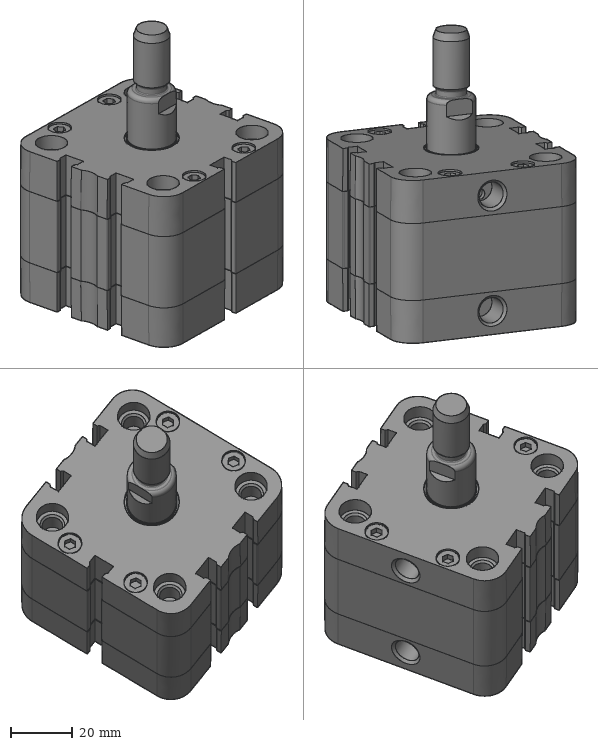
import cadquery as cq
import math

BODY_WIDTH = 65.5
BODY_HEIGHT = 55.0
TOTAL_HEIGHT = 95.0
CAP_HEIGHT = 14.5
TUBE_HEIGHT = BODY_HEIGHT - 2 * CAP_HEIGHT
HEAD_BASE = BODY_HEIGHT - CAP_HEIGHT
CORNER_RADIUS = 8.0
CAP_DRAFT = 0.46
BORE_DIAMETER = 50.0

SLOT_SPACING = 20.9
SLOT_MOUTH_WIDTH = 5.4
SLOT_INNER_WIDTH = 6.8
SLOT_MOUTH_ROUND = 0.3
SLOT_LIP_DEPTH = 1.75
SLOT_DEPTH = 5.3
GROOVE_WIDTH = 6.6
GROOVE_DEPTH = 0.85
GROOVE_EDGE_ROUND = 0.4
CAP_CLEARANCE = 0.25
GROOVE_CLEARANCE = 0.1
CHANNEL_OVERRUN = 1.0

PORT_INSET = 8.0
PORT_DIAMETER = 8.57
PORT_MOUTH_DIAMETER = 10.5
PORT_CHAMFER_DEPTH = 1.0
PORT_DEPTH = 10.0
AIR_HOLE_DIAMETER = 3.5
AIR_HOLE_DROP = 2.0
AIR_HOLE_DEPTH = 2.0

MOUNT_SPACING = 46.5
MOUNT_COUNTERBORE_DIAMETER = 10.5
MOUNT_COUNTERBORE_DEPTH = 5.0
MOUNT_THREAD_DIAMETER = 6.65
MOUNT_CHAMFER_DIAMETER = 8.0
MOUNT_DEPTH = 12.0

SCREW_SPACING_X = 56.0
SCREW_SPACING_Y = 26.0
SCREW_RECESS_DIAMETER = 7.7
SCREW_HEAD_DIAMETER = 7.5
SCREW_HEAD_DROP = 0.6
SCREW_GROOVE_DEPTH = 1.1
SOCKET_ACROSS_FLATS = 3.5
SOCKET_DEPTH = 2.0

ROD_DIAMETER = 16.0
ROD_SHOULDER = 73.0
SHOULDER_FILLET = 1.6
THREAD_DIAMETER = 12.0
NECK_DIAMETER = 10.0
NECK_HEIGHT = 2.2
NECK_FILLET = 0.3
TIP_DIAMETER = 10.1
TIP_HEIGHT = 2.6
FLAT_ACROSS = 13.0
FLAT_HEIGHT = 5.4
FLAT_RUNOUT = 1.25
RING_OUTER_DIAMETER = 18.0
RING_WALL_DIAMETER = 17.7
RING_LIP_DIAMETER = 16.54
RING_DEPTH = 0.6


def slot_cutter(height, clearance):
    """T-slot open towards +Y, with its mouth on the line Y = 0 and its depth along -Y."""
    mouth = SLOT_MOUTH_WIDTH / 2 + clearance
    inner = SLOT_INNER_WIDTH / 2 + clearance
    shoulder = SLOT_LIP_DEPTH + inner - mouth
    floor = SLOT_DEPTH + clearance
    half = [
        (mouth, CHANNEL_OVERRUN),
        (mouth, -SLOT_LIP_DEPTH),
        (inner, -shoulder),
        (inner, -floor),
    ]
    mirrored = [(-x, y) for x, y in reversed(half)]
    return cq.Workplane("XY").polyline(half + mirrored).close().extrude(height)


def rounded_slot_cutter(height):
    """Tube slot whose two mouth edges are rounded."""
    mouth = SLOT_MOUTH_WIDTH / 2
    flare = mouth + SLOT_MOUTH_ROUND
    bulge = flare - SLOT_MOUTH_ROUND * math.sqrt(0.5)
    bulge_depth = SLOT_MOUTH_ROUND * (1 - math.sqrt(0.5))
    mouth_flare = (
        cq.Workplane("XY")
        .moveTo(-flare, 0)
        .threePointArc((-bulge, -bulge_depth), (-mouth, -SLOT_MOUTH_ROUND))
        .lineTo(mouth, -SLOT_MOUTH_ROUND)
        .threePointArc((bulge, -bulge_depth), (flare, 0))
        .lineTo(flare, CHANNEL_OVERRUN)
        .lineTo(-flare, CHANNEL_OVERRUN)
        .close()
        .extrude(height)
    )
    return slot_cutter(height, 0).union(mouth_flare)


def groove_cutter(height, clearance):
    """Shallow round groove centred on the line X = Y = 0, its depth along -Y."""
    radius = (GROOVE_WIDTH**2 / 4 + GROOVE_DEPTH**2) / (2 * GROOVE_DEPTH)
    centre_height = radius - GROOVE_DEPTH
    return cq.Workplane("XY").center(0, centre_height).circle(radius + clearance).extrude(height)


def rounded_groove_cutter(height, clearance):
    """Cap groove whose two edges are rounded tangent to the groove and to the side face."""
    radius = (GROOVE_WIDTH**2 / 4 + GROOVE_DEPTH**2) / (2 * GROOVE_DEPTH)
    centre_height = radius - GROOVE_DEPTH
    reach = radius + clearance + GROOVE_EDGE_ROUND
    rise = centre_height + GROOVE_EDGE_ROUND
    edge = math.sqrt(reach**2 - rise**2)
    slope = math.atan2(edge, rise)

    def on_rounding(angle):
        return (
            edge - GROOVE_EDGE_ROUND * math.sin(angle),
            GROOVE_EDGE_ROUND * (math.cos(angle) - 1),
        )

    middle = on_rounding(slope / 2)
    end = on_rounding(slope)
    edge_flare = (
        cq.Workplane("XY")
        .moveTo(-edge, 0)
        .threePointArc((-middle[0], middle[1]), (-end[0], end[1]))
        .lineTo(*end)
        .threePointArc(middle, (edge, 0))
        .lineTo(edge, CHANNEL_OVERRUN)
        .lineTo(-edge, CHANNEL_OVERRUN)
        .close()
        .extrude(height)
    )
    return groove_cutter(height, clearance).union(edge_flare)


def cut_channels(block, slot, groove):
    """Two slots and a groove on the +Y and -Y sides, one slot on the +X side."""
    face = BODY_WIDTH / 2
    side_set = [slot.translate((x, face, 0)) for x in (-SLOT_SPACING / 2, SLOT_SPACING / 2)]
    side_set.append(groove.translate((0, face, 0)))
    for cutter in side_set:
        for turn in (0, 180):
            block = block.cut(cutter.rotate((0, 0, 0), (0, 0, 1), turn))
    return block.cut(slot.translate((0, face, 0)).rotate((0, 0, 0), (0, 0, 1), -90))


def body_outline():
    return cq.Sketch().rect(BODY_WIDTH, BODY_WIDTH).vertices().fillet(CORNER_RADIUS)


def cut_port(block, height):
    """Threaded port with a chamfered mouth, drilled from the -X side."""
    face = BODY_WIDTH / 2
    profile = [
        (-face - PORT_CHAMFER_DEPTH, 0),
        (-face - PORT_CHAMFER_DEPTH, PORT_MOUTH_DIAMETER / 2),
        (-face, PORT_MOUTH_DIAMETER / 2),
        (-face + PORT_CHAMFER_DEPTH, PORT_DIAMETER / 2),
        (-face + PORT_DEPTH, PORT_DIAMETER / 2),
        (-face + PORT_DEPTH, 0),
    ]
    port = cq.Workplane("XZ").polyline(profile).close().revolve(360, (0, 0, 0), (1, 0, 0))
    return block.cut(port.translate((0, 0, height)))


def drafted_cap():
    """Cap with its slots and grooves, full size at Z = 0 and drafted inwards up to its outer end."""
    cap = cq.Workplane("XY").placeSketch(body_outline()).extrude(CAP_HEIGHT, taper=CAP_DRAFT)
    slot = slot_cutter(CAP_HEIGHT, CAP_CLEARANCE)
    groove = rounded_groove_cutter(CAP_HEIGHT, GROOVE_CLEARANCE)
    return cut_channels(cap, slot, groove)


def build_rear_cap():
    cap = drafted_cap().rotate((0, 0, 0), (1, 0, 0), 180)
    cap = cap.translate((0, 0, CAP_HEIGHT))
    return cut_port(cap, PORT_INSET)


def build_tube():
    tube = cq.Workplane("XY").placeSketch(body_outline()).extrude(TUBE_HEIGHT)
    tube = cut_channels(tube, rounded_slot_cutter(TUBE_HEIGHT), groove_cutter(TUBE_HEIGHT, 0))
    bore = cq.Workplane("XY").circle(BORE_DIAMETER / 2).extrude(TUBE_HEIGHT)
    return tube.cut(bore).translate((0, 0, CAP_HEIGHT))


def mount_hole_cutter():
    """Counterbored blind hole with a chamfered thread, opening at Z = 0."""
    thread = MOUNT_THREAD_DIAMETER / 2
    chamfer = MOUNT_CHAMFER_DIAMETER / 2
    counterbore = MOUNT_COUNTERBORE_DIAMETER / 2
    profile = [
        (0, 0),
        (counterbore, 0),
        (counterbore, -MOUNT_COUNTERBORE_DEPTH),
        (chamfer, -MOUNT_COUNTERBORE_DEPTH),
        (thread, -MOUNT_COUNTERBORE_DEPTH - chamfer + thread),
        (thread, -MOUNT_DEPTH),
        (0, -MOUNT_DEPTH),
    ]
    return cq.Workplane("XZ").polyline(profile).close().revolve(360, (0, 0, 0), (0, 1, 0))


def screw_cutter():
    """Recess above a screw head, the narrow ring around the head, and its hexagon socket."""
    recess = cq.Workplane("XY").circle(SCREW_RECESS_DIAMETER / 2).extrude(-SCREW_HEAD_DROP)
    ring = (
        cq.Workplane("XY")
        .circle(SCREW_RECESS_DIAMETER / 2)
        .circle(SCREW_HEAD_DIAMETER / 2)
        .extrude(-SCREW_GROOVE_DEPTH)
    )
    across_corners = SOCKET_ACROSS_FLATS / math.cos(math.pi / 6)
    socket = cq.Workplane("XY").transformed(rotate=(0, 0, 90)).polygon(6, across_corners)
    return recess.union(ring).union(socket.extrude(-SCREW_HEAD_DROP - SOCKET_DEPTH))


def cut_at_corners(block, cutter, spacing_x, spacing_y):
    """Cut the same shape at the four corners of a rectangle on the head's top face."""
    for x in (-spacing_x / 2, spacing_x / 2):
        for y in (-spacing_y / 2, spacing_y / 2):
            block = block.cut(cutter.translate((x, y, BODY_HEIGHT)))
    return block


def rod_passage_cutter():
    """Rod hole through the head, with a ring groove that leaves a thin lip around the rod."""
    rod = ROD_DIAMETER / 2
    ring_outer = RING_OUTER_DIAMETER / 2
    ring_wall = RING_WALL_DIAMETER / 2
    lip = RING_LIP_DIAMETER / 2
    lip_top = BODY_HEIGHT - (ring_outer - ring_wall)
    ring_floor = BODY_HEIGHT - RING_DEPTH
    profile = [
        (0, BODY_HEIGHT),
        (ring_outer, BODY_HEIGHT),
        (ring_wall, lip_top),
        (ring_wall, ring_floor),
        (lip, ring_floor),
        (lip, lip_top),
        (rod, lip_top),
        (rod, HEAD_BASE),
        (0, HEAD_BASE),
    ]
    return cq.Workplane("XZ").polyline(profile).close().revolve(360, (0, 0, 0), (0, 1, 0))


def build_head():
    port_height = BODY_HEIGHT - PORT_INSET
    head = drafted_cap().translate((0, 0, HEAD_BASE))
    head = cut_port(head, port_height)
    air_hole = (
        cq.Workplane("YZ", origin=(PORT_DEPTH - BODY_WIDTH / 2, 0, port_height - AIR_HOLE_DROP))
        .circle(AIR_HOLE_DIAMETER / 2)
        .extrude(AIR_HOLE_DEPTH)
    )
    head = head.cut(air_hole)
    head = cut_at_corners(head, mount_hole_cutter(), MOUNT_SPACING, MOUNT_SPACING)
    head = cut_at_corners(head, screw_cutter(), SCREW_SPACING_X, SCREW_SPACING_Y)
    return head.cut(rod_passage_cutter())


def wrench_flat_cutter():
    """Flat on the +X side of the rod, with a sloped run-out below it."""
    rod = ROD_DIAMETER / 2
    flat = FLAT_ACROSS / 2
    flat_base = ROD_SHOULDER - FLAT_HEIGHT
    profile = [
        (flat, ROD_SHOULDER),
        (flat, flat_base),
        (rod, flat_base - FLAT_RUNOUT),
        (rod, ROD_SHOULDER),
    ]
    return cq.Workplane("XZ").polyline(profile).close().extrude(rod, both=True)


def build_rod():
    rod = ROD_DIAMETER / 2
    thread = THREAD_DIAMETER / 2
    neck = NECK_DIAMETER / 2
    neck_top = ROD_SHOULDER + NECK_HEIGHT
    fillet_diagonal = SHOULDER_FILLET * (1 - math.sqrt(0.5))
    body = (
        cq.Workplane("XZ")
        .moveTo(0, CAP_HEIGHT)
        .lineTo(rod, CAP_HEIGHT)
        .lineTo(rod, ROD_SHOULDER - SHOULDER_FILLET)
        .threePointArc(
            (rod - fillet_diagonal, ROD_SHOULDER - fillet_diagonal),
            (rod - SHOULDER_FILLET, ROD_SHOULDER),
        )
        .lineTo(neck, ROD_SHOULDER)
        .lineTo(neck, neck_top)
        .lineTo(thread, neck_top + thread - neck)
        .lineTo(thread, TOTAL_HEIGHT - TIP_HEIGHT)
        .lineTo(TIP_DIAMETER / 2, TOTAL_HEIGHT)
        .lineTo(0, TOTAL_HEIGHT)
        .close()
        .revolve(360, (0, 0, 0), (0, 1, 0))
    )
    neck_edges = body.edges("%CIRCLE").filter(lambda edge: math.isclose(edge.radius(), neck))
    body = neck_edges.fillet(NECK_FILLET)
    flat = wrench_flat_cutter()
    for turn in (0, 180):
        body = body.cut(flat.rotate((0, 0, 0), (0, 0, 1), turn))
    return body


rear_cap = build_rear_cap()
tube = build_tube()
head = build_head()
piston_rod = build_rod()

result = cq.Compound.makeCompound([rear_cap.val(), tube.val(), head.val(), piston_rod.val()])